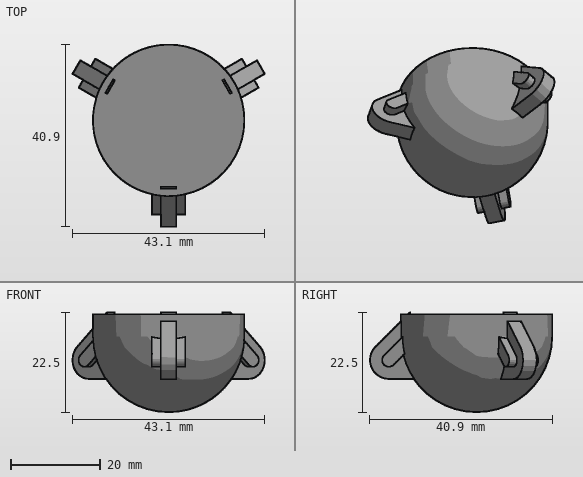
import cadquery as cq
import math

bowl_radius = 17.0
rim_height = 5.0

lug_count = 3
first_lug_angle = -90.0
lug_reach = 23.9
lug_width = 3.5
lug_end_radius = 4.25
lug_top_height = 5.45
lug_root_radius = 12.0

bar_width = 7.5
bar_end_radius = 1.5
bar_length = 7.0

end_center_r = lug_reach - lug_end_radius
end_center_z = -5.3
diagonal = math.sqrt(0.5)
slope_normal = 45.0
straight_down = -90.0
slope_sum = end_center_r + end_center_z + lug_end_radius / diagonal
ridge_r = slope_sum - lug_top_height


def end_point(radius, degrees):
    """Point on a circle around the shared end centre, as (radial distance, Z)."""
    angle = math.radians(degrees)
    return (end_center_r + radius * math.cos(angle), end_center_z + radius * math.sin(angle))


def make_bowl():
    profile = (
        cq.Workplane("XZ")
        .moveTo(0, -bowl_radius)
        .threePointArc((bowl_radius * diagonal, -bowl_radius * diagonal), (bowl_radius, 0))
        .lineTo(bowl_radius, rim_height)
        .lineTo(0, rim_height)
        .close()
    )
    return profile.revolve(360, (0, 0, 0), (0, 1, 0))


def make_lug():
    """Plate along +X whose sharp upper corner stands slightly above the rim."""
    bottom = end_point(lug_end_radius, straight_down)
    outline = (
        cq.Workplane("XZ")
        .moveTo(ridge_r, lug_top_height)
        .lineTo(*end_point(lug_end_radius, slope_normal))
        .threePointArc(end_point(lug_end_radius, (slope_normal + straight_down) / 2), bottom)
        .lineTo(lug_root_radius, bottom[1])
        .lineTo(ridge_r, 0)
        .close()
    )
    return outline.extrude(lug_width / 2, both=True)


def make_bar():
    """Bar along +X, sloping at 45 degrees up into the bowl, parallel to the lug's upper edge."""
    inward = bar_length * diagonal
    upper = end_point(bar_end_radius, slope_normal)
    lower = end_point(bar_end_radius, slope_normal - 180)
    outline = (
        cq.Workplane("XZ")
        .moveTo(upper[0] - inward, upper[1] + inward)
        .lineTo(*upper)
        .threePointArc(end_point(bar_end_radius, slope_normal - 90), lower)
        .lineTo(lower[0] - inward, lower[1] + inward)
        .close()
    )
    return outline.extrude(bar_width / 2, both=True)


result = make_bowl()
arm = make_lug().union(make_bar())
for index in range(lug_count):
    arm_angle = first_lug_angle + index * 360.0 / lug_count
    result = result.union(arm.rotate((0, 0, 0), (0, 0, 1), arm_angle))